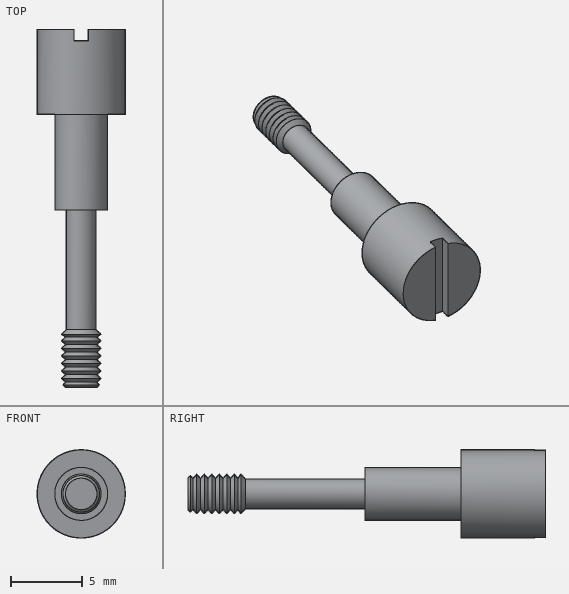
import cadquery as cq

total_length = 25.15
head_diameter = 6.2
head_length = 5.95
shoulder_diameter = 3.72
shoulder_length = 6.75
shank_diameter = 2.11

slot_width = 0.98
slot_depth = 0.78

thread_length = 4.05
thread_diameter = 2.8
root_diameter = 2.21
pitch = 0.53
full_ridges = 6
tip_crest_y = 0.18
end_crest_spacing = 0.45

head_radius = head_diameter / 2
shoulder_radius = shoulder_diameter / 2
shank_radius = shank_diameter / 2
thread_radius = thread_diameter / 2
root_radius = root_diameter / 2
head_base_y = total_length - head_length
shoulder_base_y = head_base_y - shoulder_length


def thread_profile():
    """Zigzag outline of the thread as (radius, Y) points, from tip to shank."""
    first_full_y = tip_crest_y + end_crest_spacing
    last_full_y = first_full_y + (full_ridges - 1) * pitch
    points = [(root_radius, 0), (root_radius + tip_crest_y, tip_crest_y)]
    for ridge in range(full_ridges):
        crest_y = first_full_y + ridge * pitch
        points.append((root_radius, crest_y - pitch / 2))
        points.append((thread_radius, crest_y))
    points.append((root_radius, last_full_y + pitch / 2))
    points.append((thread_radius, last_full_y + end_crest_spacing))
    points.append((shank_radius, thread_length))
    return points


def screw_body():
    """Head, shoulder, shank and thread revolved about the Y axis."""
    outline = [
        (0, 0),
        *thread_profile(),
        (shank_radius, shoulder_base_y),
        (shoulder_radius, shoulder_base_y),
        (shoulder_radius, head_base_y),
        (head_radius, head_base_y),
        (head_radius, total_length),
        (0, total_length),
    ]
    return cq.Workplane("XY").polyline(outline).close().revolve(360, (0, 0, 0), (0, 1, 0))


def driver_slot():
    """Straight slot across the head, running along Z."""
    slot_center_y = total_length - slot_depth / 2
    slot = cq.Workplane("XY").box(slot_width, slot_depth, head_diameter)
    return slot.translate((0, slot_center_y, 0))


result = screw_body().cut(driver_slot())